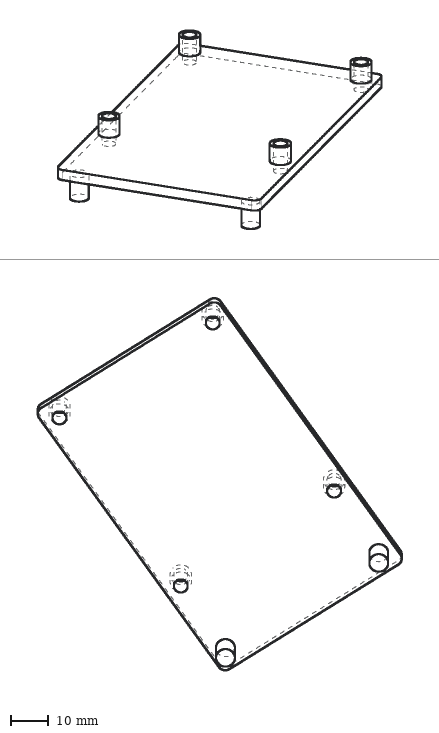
import cadquery as cq

plate_width = 58.0
plate_length = 90.0
plate_thickness = 3.0
corner_radius = 2.0

standoff_diameter = 5.7
standoff_height = 5.0
bore_diameter = 3.7
standoff_spacing_x = 49.0
standoff_spacing_y = 58.0
standoff_edge_distance = 5.0

pin_diameter = 5.0
pin_length = 7.0
pin_spacing_x = 49.0
pin_edge_distance = 5.7

standoff_rear_y = plate_length / 2 - standoff_edge_distance
standoff_points = [
    (side * standoff_spacing_x / 2, y)
    for side in (-1, 1)
    for y in (standoff_rear_y, standoff_rear_y - standoff_spacing_y)
]
pin_y = pin_edge_distance - plate_length / 2
pin_points = [(side * pin_spacing_x / 2, pin_y) for side in (-1, 1)]


def cylinders(points, diameter, start_z, height):
    """Vertical cylinders at the given points; a negative height goes down."""
    return cq.Workplane("XY", origin=(0, 0, start_z)).pushPoints(points).circle(diameter / 2).extrude(height)


plate = (
    cq.Workplane("XY")
    .rect(plate_width, plate_length)
    .extrude(plate_thickness)
    .edges("|Z")
    .fillet(corner_radius)
)
standoffs = cylinders(standoff_points, standoff_diameter, plate_thickness, standoff_height)
pins = cylinders(pin_points, pin_diameter, 0, -pin_length)

bores = cylinders(standoff_points, bore_diameter, 0, plate_thickness + standoff_height)

result = plate.union(standoffs).union(pins).cut(bores)